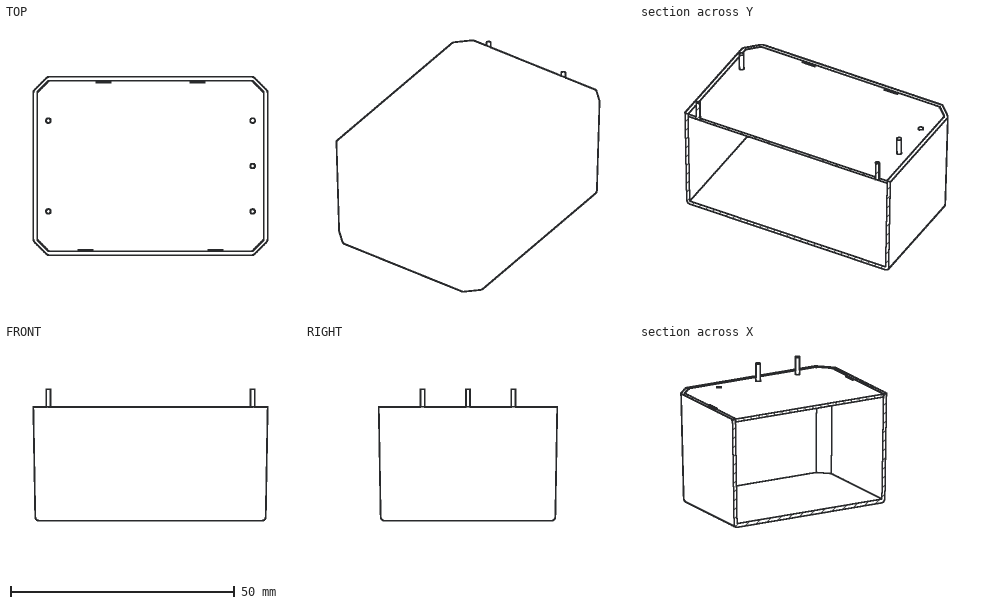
import cadquery as cq
import math

CASE_LENGTH = 52.5
CASE_WIDTH = 40.0
CASE_HEIGHT = 25.5
CORNER_CUT = 3.25
DRAFT_ANGLE = 1.0
CORNER_RADIUS = 1.0
BOTTOM_RADIUS = 1.0
WALL = 0.9
FLOOR = 1.0

LID_THICKNESS = 0.8
LID_CORNER_GAP = 0.1

LUG_WIDTH = 3.0
LUG_DEPTH = 0.3
LUG_LEAD_IN = 0.24
NOTCH_CLEARANCE = 0.12
REAR_LUG_SPACING = 21.0
FRONT_LUG_SPACING = 29.0

PITCH = 2.54
PIN_DIAMETER = 1.0
PIN_RISE = 4.0
PIN_HOLE_DIAMETER = 1.1
PIN_X = 9 * PITCH
PIN_Y = 4 * PITCH
PIN_POINTS = [(-PIN_X, -PIN_Y), (-PIN_X, PIN_Y), (PIN_X, -PIN_Y), (PIN_X, 0)]
SPARE_HOLE_POINT = (PIN_X, PIN_Y)

MOUTH_LENGTH = CASE_LENGTH - 2 * WALL
MOUTH_WIDTH = CASE_WIDTH - 2 * WALL
MOUTH_CORNER_CUT = 2.5
LID_CORNER_CUT = MOUTH_CORNER_CUT + LID_CORNER_GAP * math.sqrt(2)


def drafted_block(length, width, corner_cut, depth):
    """Block with 45-degree corners that hangs down from the rim and narrows with the draft."""
    return (
        cq.Workplane("XY", origin=(0, 0, CASE_HEIGHT))
        .rect(length, width)
        .extrude(-depth, taper=DRAFT_ANGLE)
        .edges("not #Z")
        .chamfer(corner_cut)
    )


def lug_sites():
    """Centre X and wall side (+1 rear, -1 front) of every snap lug."""
    sites = []
    for side, spacing in ((1, REAR_LUG_SPACING), (-1, FRONT_LUG_SPACING)):
        for hand in (-1, 1):
            sites.append((hand * spacing / 2, side))
    return sites


def lug(x, side):
    """Wedge on the mouth wall whose sloped face rises from its tip to the rim."""
    wall_y = side * MOUTH_WIDTH / 2
    root_y = side * (MOUTH_WIDTH + WALL) / 2
    tip_y = wall_y - side * LUG_DEPTH
    return (
        cq.Workplane("YZ", origin=(x - LUG_WIDTH / 2, 0, 0))
        .moveTo(root_y, CASE_HEIGHT)
        .lineTo(wall_y, CASE_HEIGHT)
        .lineTo(tip_y, CASE_HEIGHT - LUG_LEAD_IN)
        .lineTo(tip_y, CASE_HEIGHT - LID_THICKNESS)
        .lineTo(root_y, CASE_HEIGHT - LID_THICKNESS)
        .close()
        .extrude(LUG_WIDTH)
    )


def make_case():
    body = drafted_block(CASE_LENGTH, CASE_WIDTH, CORNER_CUT, CASE_HEIGHT)
    body = body.edges("not #Z").fillet(CORNER_RADIUS)
    body = body.faces("<Z").edges().fillet(BOTTOM_RADIUS)
    body = body.cut(drafted_block(MOUTH_LENGTH, MOUTH_WIDTH, MOUTH_CORNER_CUT, CASE_HEIGHT - FLOOR))
    for x, side in lug_sites():
        body = body.union(lug(x, side))
    return body


def make_lid():
    plate = drafted_block(MOUTH_LENGTH, MOUTH_WIDTH, LID_CORNER_CUT, LID_THICKNESS)
    notch_width = LUG_WIDTH + 2 * NOTCH_CLEARANCE
    notch_depth = LUG_DEPTH + NOTCH_CLEARANCE
    for x, side in lug_sites():
        notch = cq.Workplane("XY").box(notch_width, 2 * notch_depth, 2 * LID_THICKNESS)
        plate = plate.cut(notch.translate((x, side * MOUTH_WIDTH / 2, CASE_HEIGHT)))
    holes = (
        cq.Workplane("XY", origin=(0, 0, CASE_HEIGHT))
        .pushPoints(PIN_POINTS + [SPARE_HOLE_POINT])
        .circle(PIN_HOLE_DIAMETER / 2)
        .extrude(-LID_THICKNESS)
    )
    return plate.cut(holes)


def make_pin(x, y):
    return (
        cq.Workplane("XY", origin=(x, y, CASE_HEIGHT - LID_THICKNESS))
        .circle(PIN_DIAMETER / 2)
        .extrude(LID_THICKNESS + PIN_RISE)
    )


case = make_case()
lid = make_lid()
pins = [make_pin(x, y) for x, y in PIN_POINTS]

result = cq.Compound.makeCompound([case.val(), lid.val(), *[pin.val() for pin in pins]])